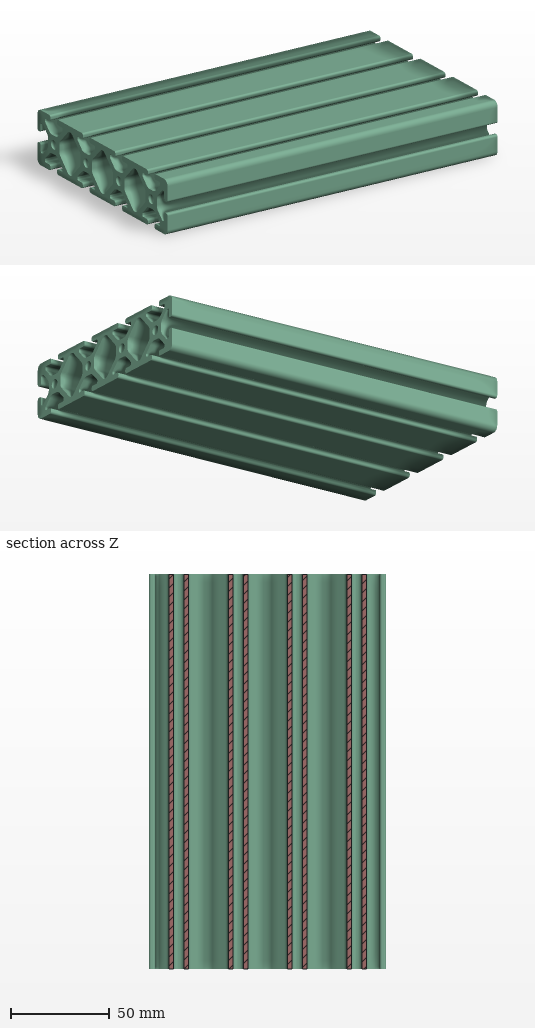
import cadquery as cq
import math

MODULE = 30.0
CELL_COUNT = 4
LENGTH = 200.0
CORNER_RADIUS = 3.0

HUB_HALF = 5.1
HUB_FILLET = 4.0
CORE_DIAMETER = 5.0

RIB_THICKNESS = 2.8
CAVITY_TIP_FILLET = 3.0

SLOT_OPENING = 6.2
LIP_THICKNESS = 3.0
LIP_ROUND = 1.1
SLOT_HALF_WIDTH = 8.2
SLOT_CORNER_FILLET = 0.9

WIDTH = CELL_COUNT * MODULE
HALF = MODULE / 2
RIB_OFFSET = RIB_THICKNESS / math.sqrt(2)
CELL_CENTRES = [(i - (CELL_COUNT - 1) / 2) * MODULE for i in range(CELL_COUNT)]
CAVITY_CENTRES = [x + HALF for x in CELL_CENTRES[:-1]]


def bar(outline):
    """Extrude an XZ outline over the full length, centred on Y."""
    return outline.extrude(LENGTH / 2, both=True)


def profile_plane():
    return cq.Workplane("XZ")


def make_blank():
    return bar(profile_plane().rect(WIDTH, MODULE)).edges("|Y").fillet(CORNER_RADIUS)


def make_slot_cutter():
    """T-slot opening towards +Z, for a cell centred on the origin."""
    lip_inner = HALF - LIP_THICKNESS
    floor_half = HUB_HALF - RIB_OFFSET
    wall_bottom = SLOT_HALF_WIDTH + RIB_OFFSET
    chamber = bar(
        profile_plane()
        .moveTo(-floor_half, HUB_HALF)
        .lineTo(floor_half, HUB_HALF)
        .lineTo(SLOT_HALF_WIDTH, wall_bottom)
        .lineTo(SLOT_HALF_WIDTH, lip_inner)
        .lineTo(-SLOT_HALF_WIDTH, lip_inner)
        .lineTo(-SLOT_HALF_WIDTH, wall_bottom)
        .close()
    )
    chamber = chamber.edges("|Y and <Z").fillet(HUB_FILLET)
    chamber = chamber.faces("<X or >X").edges("|Y").fillet(SLOT_CORNER_FILLET)

    throat_half = SLOT_OPENING / 2
    mouth_half = throat_half + LIP_ROUND
    flat_bottom = lip_inner + LIP_ROUND
    flat_top = HALF - LIP_ROUND
    mouth = bar(
        profile_plane()
        .moveTo(-mouth_half, lip_inner)
        .lineTo(mouth_half, lip_inner)
        .radiusArc((throat_half, flat_bottom), LIP_ROUND)
        .lineTo(throat_half, flat_top)
        .radiusArc((mouth_half, HALF), LIP_ROUND)
        .lineTo(-mouth_half, HALF)
        .radiusArc((-throat_half, flat_top), LIP_ROUND)
        .lineTo(-throat_half, flat_bottom)
        .radiusArc((-mouth_half, lip_inner), LIP_ROUND)
        .close()
    )
    return chamber.union(mouth)


def make_cavity_cutter():
    """Closed cavity between two neighbouring hubs, centred on the origin."""
    side = HALF - HUB_HALF
    side_half = HUB_HALF - RIB_OFFSET
    tip = HALF - RIB_OFFSET
    cavity = bar(
        profile_plane().polyline(
            [
                (0, tip),
                (side, side_half),
                (side, -side_half),
                (0, -tip),
                (-side, -side_half),
                (-side, side_half),
            ]
        ).close()
    )
    cavity = cavity.edges("|Y and (<X or >X)").fillet(HUB_FILLET)
    return cavity.edges("|Y and (<Z or >Z)").fillet(CAVITY_TIP_FILLET)


def cut_slots(body):
    slot = make_slot_cutter()
    placements = [(x, turn) for x in CELL_CENTRES for turn in (0, 180)]
    placements.append((CELL_CENTRES[0], -90))
    placements.append((CELL_CENTRES[-1], 90))
    for x, turn in placements:
        turned = slot.rotate((0, 0, 0), (0, 1, 0), turn)
        body = body.cut(turned.translate((x, 0, 0)))
    return body


def cut_cavities(body):
    cavity = make_cavity_cutter()
    for x in CAVITY_CENTRES:
        body = body.cut(cavity.translate((x, 0, 0)))
    return body


def cut_core_holes(body):
    centres = [(x, 0) for x in CELL_CENTRES]
    holes = bar(profile_plane().pushPoints(centres).circle(CORE_DIAMETER / 2))
    return body.cut(holes)


result = cut_core_holes(cut_cavities(cut_slots(make_blank())))